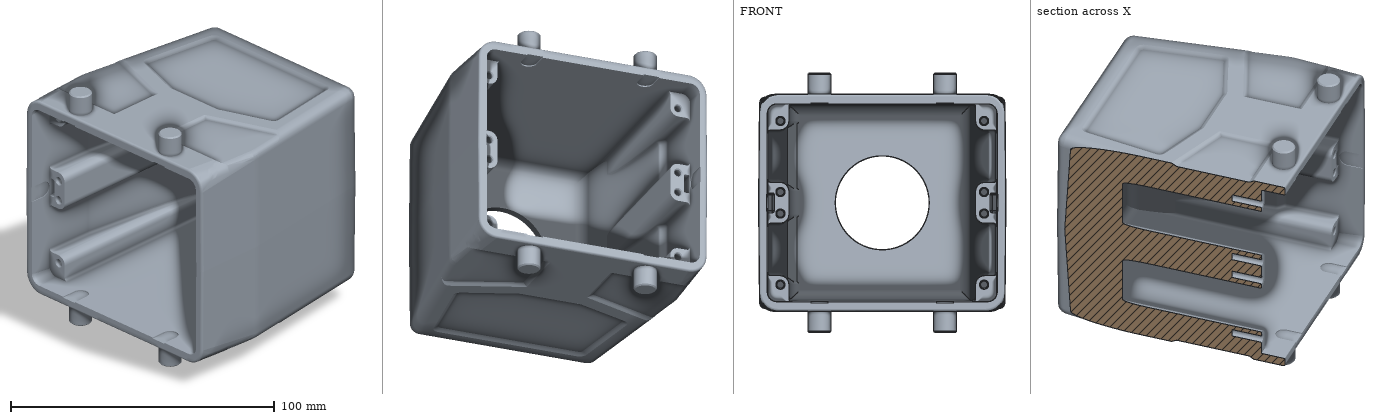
import cadquery as cq
import math

LENGTH = 94.0
WIDTH = 94.0
HEIGHT = 82.5
PIN_SPAN = 98.5
SIDE_DRAFT = 0.5
FLANK_ANGLE = 7.9
BEND_Y = -17.0
BEND_RADIUS = 20.0
EDGE_RADIUS = 4.0
MOUTH_EDGE_RADIUS = 7.5
RIM_FILLET = 0.9

RIM_HALF_X = 43.7
RIM_HALF_Z = 37.6
RIM_CORNER_RADIUS = 3.8
FLOOR_Y = 43.5
FLOOR_HALF_Z = 37.0
FLOOR_FILLET = 3.9
BEND_WALL_X = 43.0
LEFT_FLOOR_X = -36.0
LEFT_BEVEL_X = 3.6
LEFT_BEVEL_Y = 1.8
RIGHT_STEP_X = 40.6
RIGHT_FLOOR_X = 33.0
STEP_START_Y = -15.8
STEP_END_Y = -13.6
STEP_FILLET = 1.5

POST_TIP_Y = -37.5
POST_TIP_X = 35.5
POST_FLOOR_X = 35.3
POST_FLARE_RADIUS = 4.1
POST_RADIUS = 3.3
MIDDLE_POST_HALF_Z = 7.75
CORNER_POST_Z = 27.7
POST_FOOT_FILLET = 1.2
SCREW_X = 38.7
SCREW_Z = (4.1, 31.1)
SCREW_DIAMETER = 2.7
SCREW_MOUTH_DIAMETER = 3.5
SCREW_DEPTH = 12.0
NOTCH_X = 41.0
NOTCH_BACK_X = 43.4
NOTCH_HALF_Z = 3.8
NOTCH_CORNER = 0.8
NOTCH_DEPTH = 8.0
NOTCH_TAPER = 6.0

ENTRY_DIAMETER = 35.6
PIN_DIAMETER = 8.8
PIN_X = 23.85
PIN_Y = -40.8
PIN_CHAMFER = 0.5
SEAT_RADIUS = 3.15
PIN_SEAT_DEPTH = 0.4
SIDE_SEAT_DEPTH = 0.2

RECESS_DEPTH = 1.05
RECESS_WALL_ANGLE = 60.0
PANEL_CORNER_RADIUS = 3.0
PANEL_TOP_X = 31.0
PANEL_TOP_Y = 39.3
PANEL_SIDE_X = 35.8
PANEL_SIDE_Y = 4.4
PANEL_BOTTOM_X = 12.5
PANEL_BOTTOM_Y = -3.9
GRIP_INNER_X = 12.4
GRIP_INNER_Y = -10.4
GRIP_BOTTOM_Y = -34.2
GRIP_SLOPE = 20.0
GRIP_CORNER_RADIUS = 0.6
GRIP_EDGE_RADIUS = 2.3

HALF_LENGTH = LENGTH / 2
HALF_WIDTH = WIDTH / 2
HALF_HEIGHT = HEIGHT / 2
MOUTH_Y = -HALF_LENGTH
BEND_TANGENT = BEND_RADIUS * math.tan(math.radians(FLANK_ANGLE / 2))
BEND_START_Y = BEND_Y - BEND_TANGENT
MARGIN = 10.0
OVERLAP = 1.0
CATCH = 0.3
FLOOR_CATCH = 0.1
LEFT = -1
SIDES = (LEFT, 1)
POST_RANGES = (
    (-HALF_HEIGHT, -CORNER_POST_Z),
    (-MIDDLE_POST_HALF_Z, MIDDLE_POST_HALF_Z),
    (CORNER_POST_Z, HALF_HEIGHT),
)


def slab(y_start, y_end):
    """Block wider and taller than the hood between two Y positions."""
    return (
        cq.Workplane("XZ", origin=(0, y_start, 0))
        .rect(2 * WIDTH, 2 * HEIGHT)
        .extrude(y_start - y_end)
    )


def edges_in_box(shape, corner, opposite_corner):
    return shape.edges(cq.selectors.BoxSelector(corner, opposite_corner)).vals()


def nearest(x, y, z):
    return cq.selectors.NearestToPointSelector((x, y, z))



def rear_body():
    """Tapering rear, drafted both ways from the parting plane."""
    angle = math.radians(FLANK_ANGLE)
    front_y = BEND_START_Y - MARGIN
    bend_end_x = HALF_WIDTH - BEND_TANGENT * math.sin(angle)
    bend_end_y = BEND_Y + BEND_TANGENT * math.cos(angle)
    back_x = HALF_WIDTH - (HALF_LENGTH - BEND_Y) * math.tan(angle)
    half = (
        cq.Workplane("XY")
        .moveTo(-HALF_WIDTH, front_y)
        .lineTo(HALF_WIDTH, front_y)
        .lineTo(HALF_WIDTH, BEND_START_Y)
        .tangentArcPoint((bend_end_x, bend_end_y), relative=False)
        .lineTo(back_x, HALF_LENGTH)
        .lineTo(-back_x, HALF_LENGTH)
        .lineTo(-bend_end_x, bend_end_y)
        .tangentArcPoint((-HALF_WIDTH, BEND_START_Y), relative=False)
        .close()
        .extrude(HALF_HEIGHT, taper=SIDE_DRAFT)
    )
    for side in SIDES:
        half = half.edges(nearest(side * back_x, HALF_LENGTH, HALF_HEIGHT / 2)).fillet(EDGE_RADIUS)
    half = half.faces(">Z").edges("not(<Y)").fillet(EDGE_RADIUS)
    body = half.union(half.mirror("XY"))
    return body.cut(slab(MOUTH_Y, BEND_START_Y))


def mouth_section(y, radius):
    top_x = HALF_WIDTH - HALF_HEIGHT * math.tan(math.radians(SIDE_DRAFT))
    points = [
        (HALF_WIDTH, 0), (top_x, HALF_HEIGHT), (-top_x, HALF_HEIGHT),
        (-HALF_WIDTH, 0), (-top_x, -HALF_HEIGHT), (top_x, -HALF_HEIGHT),
    ]
    wire = cq.Workplane("XZ", origin=(0, y, 0)).polyline(points).close().val()
    corners = [vertex for vertex in wire.Vertices() if abs(vertex.Z) > HALF_HEIGHT / 2]
    return wire.fillet2D(radius, corners)


def mouth_body():
    """Straight front whose long edges grow rounder towards the mouth."""
    sections = [
        mouth_section(BEND_START_Y, EDGE_RADIUS),
        mouth_section(MOUTH_Y, MOUTH_EDGE_RADIUS),
    ]
    mouth = cq.Workplane(cq.Solid.makeLoft(sections, True))
    return mouth.faces("<Y").edges().fillet(RIM_FILLET)


def recess(points, corner_radius):
    """Recess with sloping walls and rounded corners, sunk into the +Z face."""
    prism = (
        cq.Workplane("XY")
        .polyline(points)
        .close()
        .extrude(RECESS_DEPTH)
        .edges("|Z")
        .fillet(corner_radius)
    )
    outline = prism.faces("<Z").wires().val()
    return (
        cq.Workplane("XY", origin=(0, 0, HALF_HEIGHT))
        .add(outline.translate(cq.Vector(0, 0, HALF_HEIGHT)))
        .toPending()
        .extrude(-RECESS_DEPTH, taper=RECESS_WALL_ANGLE)
    )


def panel_recess():
    points = [
        (-PANEL_TOP_X, PANEL_TOP_Y), (PANEL_TOP_X, PANEL_TOP_Y), (PANEL_SIDE_X, PANEL_SIDE_Y),
        (PANEL_BOTTOM_X, PANEL_BOTTOM_Y), (-PANEL_BOTTOM_X, PANEL_BOTTOM_Y), (-PANEL_SIDE_X, PANEL_SIDE_Y),
    ]
    return recess(points, PANEL_CORNER_RADIUS)


def grip_recess(side):
    outer_x = HALF_WIDTH + MARGIN
    rise = (outer_x - GRIP_INNER_X) * math.tan(math.radians(GRIP_SLOPE))
    points = [
        (side * GRIP_INNER_X, GRIP_INNER_Y), (side * outer_x, GRIP_INNER_Y + rise),
        (side * outer_x, GRIP_BOTTOM_Y), (side * GRIP_INNER_X, GRIP_BOTTOM_Y),
    ]
    return recess(points, GRIP_CORNER_RADIUS)


def grip_edges(body, side, end):
    """Edges where a grip floor runs out through the rounded long edge of the body."""
    floor_z = end * (HALF_HEIGHT - RECESS_DEPTH)
    return edges_in_box(
        body,
        (side * (HALF_WIDTH - EDGE_RADIUS), GRIP_BOTTOM_Y + 2 * RECESS_DEPTH, floor_z - FLOOR_CATCH),
        (side * HALF_WIDTH, 0, floor_z + FLOOR_CATCH),
    )


def outer_body():
    body = rear_body().union(mouth_body())
    recesses = panel_recess()
    for side in SIDES:
        recesses = recesses.union(grip_recess(side))
    body = body.cut(recesses).cut(recesses.mirror("XY"))
    for side in SIDES:
        for end in SIDES:
            body = body.newObject(grip_edges(body, side, end)).fillet(GRIP_EDGE_RADIUS)
    return body


def locking_pins():
    root_z = RIM_HALF_Z + PIN_SEAT_DEPTH
    pin = (
        cq.Workplane("XY", origin=(0, PIN_Y, root_z))
        .circle(PIN_DIAMETER / 2)
        .extrude(PIN_SPAN / 2 - root_z)
        .faces(">Z")
        .chamfer(PIN_CHAMFER)
    )
    pins = []
    for side in SIDES:
        placed = pin.translate((side * PIN_X, 0, 0))
        pins += [placed, placed.mirror("XY")]
    return pins



def cavity_space():
    """Hollow of the hood before the posts are left standing in it."""
    plan = (
        cq.Workplane("XY", origin=(0, 0, -HALF_HEIGHT))
        .polyline([
            (-RIM_HALF_X, MOUTH_Y),
            (RIM_HALF_X, MOUTH_Y),
            (BEND_WALL_X, STEP_START_Y),
            (RIGHT_STEP_X, STEP_END_Y),
            (RIGHT_FLOOR_X, FLOOR_Y),
            (LEFT_FLOOR_X + LEFT_BEVEL_X, FLOOR_Y),
            (LEFT_FLOOR_X, FLOOR_Y - LEFT_BEVEL_Y),
            (-BEND_WALL_X, BEND_Y),
        ])
        .close()
        .extrude(HEIGHT)
    )
    for x, y in ((BEND_WALL_X, STEP_START_Y), (RIGHT_STEP_X, STEP_END_Y)):
        plan = plan.edges("|Z").edges(nearest(x, y, 0)).fillet(STEP_FILLET)
    elevation = (
        cq.Workplane("YZ", origin=(-HALF_WIDTH, 0, 0))
        .polyline([
            (MOUTH_Y, -RIM_HALF_Z), (FLOOR_Y, -FLOOR_HALF_Z), (FLOOR_Y, FLOOR_HALF_Z), (MOUTH_Y, RIM_HALF_Z),
        ])
        .close()
        .extrude(WIDTH)
    )
    space = plan.intersect(elevation)
    space = space.faces(">Y").edges("not(<X)").fillet(FLOOR_FILLET)
    rounded_mouth = (
        cq.Workplane("XZ", origin=(0, MOUTH_Y, 0))
        .rect(2 * RIM_HALF_X, 2 * RIM_HALF_Z)
        .extrude(MOUTH_Y - POST_TIP_Y)
        .edges("|Y")
        .fillet(RIM_CORNER_RADIUS)
    )
    return space.intersect(rounded_mouth.union(slab(POST_TIP_Y, LENGTH)))


def post(side, z_low, z_high, flared=False):
    """Screw post on one side wall, leaning inwards; a flared one curves out into the floor."""
    outer_x = HALF_WIDTH + MARGIN
    flare_start = FLOOR_Y - POST_FLARE_RADIUS
    base_y = FLOOR_Y + OVERLAP
    plan = (
        cq.Workplane("XY", origin=(0, 0, z_low))
        .moveTo(side * outer_x, base_y)
        .lineTo(side * outer_x, POST_TIP_Y)
        .lineTo(side * POST_TIP_X, POST_TIP_Y)
        .lineTo(side * POST_FLOOR_X, flare_start)
    )
    base_x = side * POST_FLOOR_X
    if flared:
        base_x = side * (POST_FLOOR_X - POST_FLARE_RADIUS)
        plan = plan.tangentArcPoint((base_x, FLOOR_Y), relative=False)
    solid = plan.lineTo(base_x, base_y).close().extrude(z_high - z_low)
    middle_y = (POST_TIP_Y + flare_start) / 2
    for z in (z_low, z_high):
        if abs(z) < RIM_HALF_Z:
            solid = solid.edges(nearest(side * POST_TIP_X, middle_y, z)).fillet(POST_RADIUS)
    return solid


def foot_edges(space, side):
    """Edges where the posts of one side meet the side wall and the large walls."""
    found = []
    for height in (MIDDLE_POST_HALF_Z, CORNER_POST_Z):
        for z in (-height, height):
            found += edges_in_box(
                space,
                (side * (POST_TIP_X + POST_RADIUS + CATCH), POST_TIP_Y + CATCH, z - CATCH),
                (side * HALF_WIDTH, FLOOR_Y, z + CATCH),
            )
    wall_z = (RIM_HALF_Z + FLOOR_HALF_Z) / 2
    for z in (-wall_z, wall_z):
        found += edges_in_box(
            space,
            (side * (POST_FLOOR_X - CATCH), POST_TIP_Y + CATCH, z - CATCH),
            (side * (POST_TIP_X + CATCH), FLOOR_Y - FLOOR_FILLET, z + CATCH),
        )
    return found


def post_cavity():
    """Cavity with the screw posts left standing, their feet rounded and the left ones flared."""
    space = cavity_space()
    for side in SIDES:
        for z_low, z_high in POST_RANGES:
            space = space.cut(post(side, z_low, z_high))
    for side in SIDES:
        space = space.newObject(foot_edges(space, side)).fillet(POST_FOOT_FILLET)
    floor_zone = slab(FLOOR_Y - POST_FLARE_RADIUS, LENGTH)
    for z_low, z_high in POST_RANGES:
        space = space.cut(post(LEFT, z_low, z_high, flared=True).intersect(floor_zone))
    return space


def seat(depth):
    """Flat U-shaped seat: its round end is centred on the origin and it runs out towards -Y."""
    return (
        cq.Workplane("XY", origin=(0, -MARGIN, 0))
        .slot2D(2 * MARGIN + 2 * SEAT_RADIUS, 2 * SEAT_RADIUS, 90)
        .extrude(depth)
    )


def wall_seats():
    """Seats under the locking pins and one more in the middle of each side wall."""
    pin_seat = seat(PIN_SEAT_DEPTH + OVERLAP).translate((0, PIN_Y, RIM_HALF_Z - OVERLAP))
    side_seat = seat(SIDE_SEAT_DEPTH + OVERLAP)
    seats = []
    for side in SIDES:
        placed = pin_seat.translate((side * PIN_X, 0, 0))
        upright = side_seat.rotate((0, 0, 0), (0, 1, 0), side * 90)
        seats += [placed, placed.mirror("XY"), upright.translate((side * (RIM_HALF_X - OVERLAP), PIN_Y, 0))]
    return seats


def screw_holes():
    mouth_depth = (SCREW_MOUTH_DIAMETER - SCREW_DIAMETER) / 2
    drill = cq.Workplane("XY").circle(SCREW_DIAMETER / 2).extrude(SCREW_DEPTH)
    mouth = cq.Workplane(cq.Solid.makeCone(SCREW_MOUTH_DIAMETER / 2, SCREW_DIAMETER / 2, mouth_depth))
    hole = drill.union(mouth).rotate((0, 0, 0), (1, 0, 0), -90)
    return [
        hole.translate((side * SCREW_X, POST_TIP_Y, end * height))
        for side in SIDES
        for end in SIDES
        for height in SCREW_Z
    ]


def post_notches():
    """Tapered notches between the middle posts and the side walls."""
    inside = (
        cq.Workplane("XZ", origin=(0, POST_TIP_Y, 0))
        .rect(2 * NOTCH_BACK_X, HEIGHT)
        .extrude(-NOTCH_DEPTH)
    )
    notches = []
    for side in SIDES:
        notch = (
            cq.Workplane("XZ", origin=(side * RIM_HALF_X, POST_TIP_Y, 0))
            .sketch()
            .rect(2 * (RIM_HALF_X - NOTCH_X), 2 * NOTCH_HALF_Z)
            .vertices()
            .fillet(NOTCH_CORNER)
            .finalize()
            .extrude(-NOTCH_DEPTH, taper=NOTCH_TAPER)
        )
        notches.append(notch.intersect(inside))
    return notches


def cable_entry():
    return (
        cq.Workplane("XZ", origin=(0, FLOOR_Y - OVERLAP, 0))
        .circle(ENTRY_DIAMETER / 2)
        .extrude(-MARGIN)
    )



result = outer_body()
for locking_pin in locking_pins():
    result = result.union(locking_pin)
for cutter in [post_cavity(), cable_entry(), *wall_seats(), *screw_holes(), *post_notches()]:
    result = result.cut(cutter)